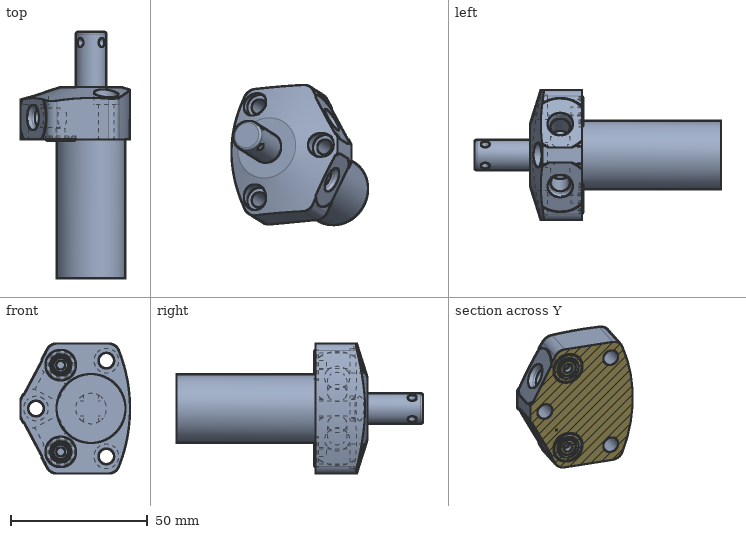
import cadquery as cq
import math


CAN_DIAMETER = 25.2
CAN_LENGTH = 50.8

SHAFT_DIAMETER = 11.2
SHAFT_LENGTH = 20.27
SHAFT_END_RADIUS = 0.9
DIMPLE_DIAMETER = 3.3
DIMPLE_CONE_ANGLE = 90.0
DIMPLE_FROM_END = 3.97
DIMPLE_ANGLES = (45, 135, 225, 315)

FLANGE_THICKNESS = 19.05
FLANGE_HALF_HEIGHT = 23.81
FLANGE_RIGHT = 14.29
FLANGE_LEFT = -25.82
RIGHT_ARC_RADIUS = 57.0
NOSE_HALF_HEIGHT = 3.3
SLANT_ANGLE = 62.0
CORNER_RADIUS = 4.2

CONE_FLAT_RADIUS = 11.3
CONE_ANGLE = 17.5

MOUNT_HOLE_DIAMETER = 5.6
MOUNT_COUNTERBORE_DIAMETER = 9.0
MOUNT_COUNTERBORE_DEPTH = 6.35
MOUNT_HOLE_CENTRES = ((-20.1, 0), (5.6, 17.5), (5.6, -17.5))

PORT_Y = 7.95
PORT_HALF_SPACING = 11.37
SPOTFACE_DIAMETER = 21.2
SPOTFACE_DEPTH = 0.28
PORT_MOUTH_DIAMETER = 9.25
PORT_THROAT_DIAMETER = 7.9
PORT_TAPER_DEPTH = 1.7
PORT_BORE_DIAMETER = 7.1
PORT_BORE_START = 2.65
PORT_BORE_DEPTH = 12.1

SEAL_X = -11.09
SEAL_HALF_SPACING = 15.85
GROOVE_OUTER_DIAMETER = 11.2
ISLAND_TOP_DIAMETER = 5.3
ISLAND_BASE_DIAMETER = 6.4
SEAL_HOLE_DIAMETER = 3.25
SEAL_HOLE_DEPTH = 4.0
RING_SECTION_DIAMETER = 1.78
RING_MEAN_RADIUS = 4.73
RING_PROTRUSION = 0.54
RING_SEAT_OVERLAP = 0.05
GROOVE_DEPTH = RING_SECTION_DIAMETER - RING_PROTRUSION - RING_SEAT_OVERLAP

FORWARD = (0, 1, 0)


def cylinder_along_y(diameter, start_y, end_y, x=0, z=0):
    base = cq.Vector(x, start_y, z)
    return cq.Workplane(cq.Solid.makeCylinder(diameter / 2, end_y - start_y, base, cq.Vector(*FORWARD)))


def revolved(plane, points):
    """Revolve (radius, height) points around the plane's own Y axis."""
    return cq.Workplane(plane).polyline(points).close().revolve(360, (0, 0, 0), (0, 1, 0))


def flange_outline():
    slant_run = (FLANGE_HALF_HEIGHT - NOSE_HALF_HEIGHT) / math.tan(math.radians(SLANT_ANGLE))
    top_left = FLANGE_LEFT + slant_run
    arc_sag = RIGHT_ARC_RADIUS - math.sqrt(RIGHT_ARC_RADIUS**2 - FLANGE_HALF_HEIGHT**2)
    top_right = FLANGE_RIGHT - arc_sag
    return (
        cq.Workplane("XZ")
        .moveTo(FLANGE_LEFT, -NOSE_HALF_HEIGHT)
        .lineTo(FLANGE_LEFT, NOSE_HALF_HEIGHT)
        .lineTo(top_left, FLANGE_HALF_HEIGHT)
        .lineTo(top_right, FLANGE_HALF_HEIGHT)
        .threePointArc((FLANGE_RIGHT, 0), (top_right, -FLANGE_HALF_HEIGHT))
        .lineTo(top_left, -FLANGE_HALF_HEIGHT)
        .close()
    )


def flange():
    prism = flange_outline().extrude(-FLANGE_THICKNESS)
    prism = prism.edges("|Y").edges(">Z or <Z").fillet(CORNER_RADIUS)
    cone_radius = FLANGE_HALF_HEIGHT - FLANGE_LEFT
    cone_drop = (cone_radius - CONE_FLAT_RADIUS) * math.tan(math.radians(CONE_ANGLE))
    envelope = revolved(
        cq.Plane.XY(),
        [
            (0, 0),
            (cone_radius, 0),
            (cone_radius, FLANGE_THICKNESS - cone_drop),
            (CONE_FLAT_RADIUS, FLANGE_THICKNESS),
            (0, FLANGE_THICKNESS),
        ],
    )
    return prism.intersect(envelope)


def mount_hole_cutter(x, z):
    hole = cylinder_along_y(MOUNT_HOLE_DIAMETER, 0, FLANGE_THICKNESS, x, z)
    floor_y = FLANGE_THICKNESS - MOUNT_COUNTERBORE_DEPTH
    counterbore = cylinder_along_y(MOUNT_COUNTERBORE_DIAMETER, floor_y, FLANGE_THICKNESS, x, z)
    return hole.union(counterbore)


def port_cutter(side):
    """Spotface, tapered mouth and flat-bottomed bore; side is +1 for upper, -1 for lower."""
    slant = math.radians(SLANT_ANGLE)
    inward = (math.sin(slant), 0, -side * math.cos(slant))
    slant_x = FLANGE_LEFT + (PORT_HALF_SPACING - NOSE_HALF_HEIGHT) / math.tan(slant)
    origin = (slant_x + SPOTFACE_DEPTH / math.sin(slant), PORT_Y, side * PORT_HALF_SPACING)
    plane = cq.Plane(origin=origin, xDir=FORWARD, normal=inward)
    spotface = cq.Workplane(plane).circle(SPOTFACE_DIAMETER / 2).extrude(-2 * SPOTFACE_DEPTH)
    bore_x_axis = cq.Vector(*inward).cross(cq.Vector(*FORWARD))
    bore_normal = bore_x_axis.cross(cq.Vector(*inward))
    bore = revolved(
        cq.Plane(origin=origin, xDir=bore_x_axis, normal=bore_normal),
        [
            (0, 0),
            (PORT_MOUTH_DIAMETER / 2, 0),
            (PORT_THROAT_DIAMETER / 2, PORT_TAPER_DEPTH),
            (PORT_BORE_DIAMETER / 2, PORT_BORE_START),
            (PORT_BORE_DIAMETER / 2, PORT_BORE_DEPTH),
            (0, PORT_BORE_DEPTH),
        ],
    )
    return spotface.union(bore)


def seal_cutter(z):
    groove = cylinder_along_y(GROOVE_OUTER_DIAMETER, 0, GROOVE_DEPTH, SEAL_X, z)
    top_centre = cq.Vector(SEAL_X, 0, z)
    island = cq.Solid.makeCone(
        ISLAND_TOP_DIAMETER / 2, ISLAND_BASE_DIAMETER / 2, GROOVE_DEPTH, top_centre, cq.Vector(*FORWARD)
    )
    hole = cylinder_along_y(SEAL_HOLE_DIAMETER, 0, SEAL_HOLE_DEPTH, SEAL_X, z)
    return groove.cut(cq.Workplane(island)).union(hole)


def seal_ring(z):
    section_radius = RING_SECTION_DIAMETER / 2
    centre = cq.Vector(SEAL_X, section_radius - RING_PROTRUSION, z)
    return cq.Workplane(cq.Solid.makeTorus(RING_MEAN_RADIUS, section_radius, centre, cq.Vector(*FORWARD)))


def shaft():
    radius = SHAFT_DIAMETER / 2
    end_y = FLANGE_THICKNESS + SHAFT_LENGTH
    body = cylinder_along_y(SHAFT_DIAMETER, 0, end_y).faces(">Y").edges().fillet(SHAFT_END_RADIUS)
    depth = DIMPLE_DIAMETER / 2 / math.tan(math.radians(DIMPLE_CONE_ANGLE / 2))
    dimple_y = end_y - DIMPLE_FROM_END
    for angle in DIMPLE_ANGLES:
        outward = cq.Vector(math.cos(math.radians(angle)), 0, math.sin(math.radians(angle)))
        rim = outward * radius + cq.Vector(0, dimple_y, 0)
        dimple = cq.Solid.makeCone(DIMPLE_DIAMETER / 2, 0, depth, rim, -outward)
        body = body.cut(cq.Workplane(dimple))
    return body


def motor():
    body = flange()
    for x, z in MOUNT_HOLE_CENTRES:
        body = body.cut(mount_hole_cutter(x, z))
    for side in (1, -1):
        body = body.cut(port_cutter(side))
        body = body.cut(seal_cutter(side * SEAL_HALF_SPACING))
        body = body.union(seal_ring(side * SEAL_HALF_SPACING))
    can = cylinder_along_y(CAN_DIAMETER, -CAN_LENGTH, 0)
    return body.union(can).union(shaft())


result = motor()